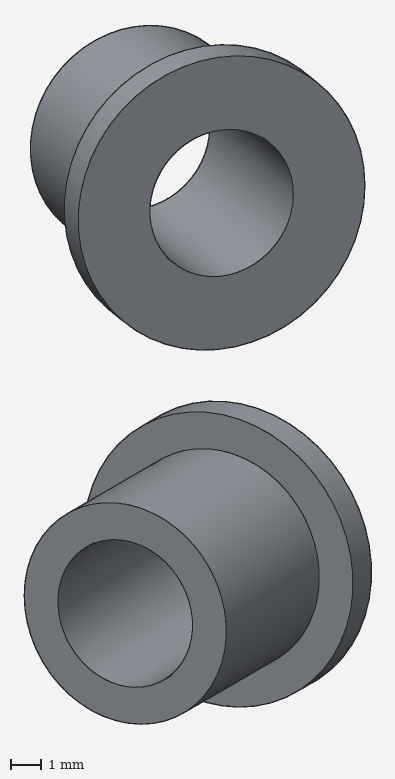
import cadquery as cq

overall_length = 7.61
flange_diameter = 10.14
flange_thickness = 1.27
sleeve_diameter = 7.61
bore_diameter = 5.07


def cylinder_along_x(diameter, start_x, length):
    """Solid cylinder centred on the X axis, growing toward +X from start_x."""
    plane = cq.Workplane("YZ", origin=(start_x, 0, 0))
    return plane.circle(diameter / 2).extrude(length)


sleeve = cylinder_along_x(sleeve_diameter, 0, overall_length)
flange = cylinder_along_x(flange_diameter, overall_length - flange_thickness, flange_thickness)
bore = cylinder_along_x(bore_diameter, 0, overall_length)

result = sleeve.union(flange).cut(bore)